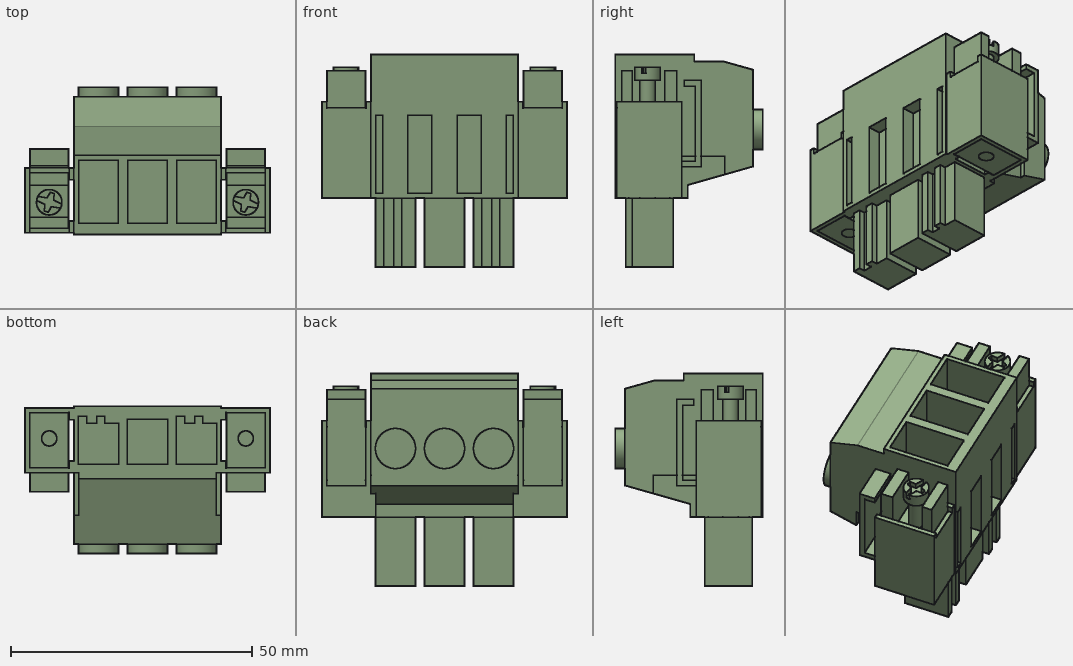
import cadquery as cq

pole_pitch = 10.15
pole_count = 3
pole_positions = [pole_pitch * (i - (pole_count - 1) / 2) for i in range(pole_count)]
total_length = 50.8
total_depth = 30.6
housing_length = pole_pitch * pole_count
housing_half = housing_length / 2

housing_height = 29.75
housing_depth = 28.6
tower_depth = 16.4
shoulder_height = 28.35
shoulder_depth = 22.45
back_top = 26.6
back_bottom = 6.55
foot_depth = 15.05
foot_height = 2.7

funnel_width = 8.2
funnel_front = 2.35
funnel_back = 15.45
funnel_drop = 10.15
window_width = 5.0
window_depth = 2.95
window_bottom = 1.0
window_top = 17.15

undercut_inset = 1.0
undercut_back = 22.65
undercut_top = 8.65

plug_width = 8.35
plug_front = 2.15
middle_plug_front = 2.75
plug_back = 12.05
plug_length = 14.35
channel_depth = 1.35
channel_spans = [(1.75, 3.75), (5.45, plug_width)]

cup_wall = 1.0
cup_front = 0.35
cup_back = 13.8
cup_height = 20.0
cup_rim = 18.7
cup_outer = total_length / 2
pocket_outer = cup_outer - cup_wall
pocket_inner = housing_half + cup_wall
pocket_front = cup_front + cup_wall
pocket_back = cup_back - cup_wall
bridge_depth = 2.5

insert_clearance = 0.1
insert_width = pocket_outer - pocket_inner - insert_clearance
insert_center = pocket_outer - insert_width / 2
insert_top = 26.4
insert_floor = 16.75
front_cheek_back = 3.55
back_cheek_front = 10.25

hook_thickness = 1.15
hook_back = 17.8
hook_lip_front = 14.35
hook_bottom = 6.45
hook_top = 24.4

screw_y = 6.7
screw_head_radius = 2.65
screw_shank_radius = 1.6
screw_head_bottom = 24.4
screw_top = 27.15
cross_depth = 1.2
cross_root_half = 0.7
cross_tip_half = 0.43
cross_short_reach = 2.05
cross_overrun = 0.05
cross_long_reach = screw_head_radius + cross_overrun
cross_angle = -18.0

terminal_radius = 4.15
terminal_height = total_depth - housing_depth
terminal_z = 14.2

LEFT, RIGHT = -1, 1


def box(x_range, y_range, z_range):
    """Box between two limits on each axis, given in either order."""
    x0, x1 = sorted(x_range)
    y0, y1 = sorted(y_range)
    z0, z1 = sorted(z_range)
    return cq.Workplane("XY").box(x1 - x0, y1 - y0, z1 - z0, centered=False).translate((x0, y0, z0))


def centered_span(center, width):
    return center - width / 2, center + width / 2


def make_housing_core():
    profile = [
        (0, 0),
        (0, housing_height),
        (tower_depth, housing_height),
        (tower_depth, shoulder_height),
        (shoulder_depth, shoulder_height),
        (housing_depth, back_top),
        (housing_depth, back_bottom),
        (foot_depth, foot_height),
        (foot_depth, 0),
    ]
    return cq.Workplane("YZ").polyline(profile).close().extrude(housing_half, both=True)


def cut_funnels(body):
    for x in pole_positions:
        body = body.cut(
            box(
                centered_span(x, funnel_width),
                (funnel_front, funnel_back),
                (housing_height - funnel_drop, housing_height),
            )
        )
    return body


def cut_front_windows(body):
    """One window midway between poles; those at the housing ends stop at the outermost funnel sides."""
    window_limit = pole_positions[-1] + funnel_width / 2
    for i in range(pole_count + 1):
        start, end = centered_span(pole_pitch * (i - pole_count / 2), window_width)
        x_range = (max(start, -window_limit), min(end, window_limit))
        body = body.cut(box(x_range, (0, window_depth), (window_bottom, window_top)))
    return body


def cut_undercuts(body):
    for side in (LEFT, RIGHT):
        x_range = (side * (housing_half - undercut_inset), side * housing_half)
        body = body.cut(box(x_range, (cup_back, undercut_back), (0, undercut_top)))
    return body


def make_middle_plug(x):
    return box(centered_span(x, plug_width), (middle_plug_front, plug_back), (-plug_length, 0))


def make_end_plug(x):
    """Plug with upright coding channels in its front."""
    start, end = centered_span(x, plug_width)
    plug = box((start, end), (plug_front, plug_back), (-plug_length, 0))
    for channel_start, channel_end in channel_spans:
        plug = plug.cut(
            box(
                (start + channel_start, start + channel_end),
                (plug_front, plug_front + channel_depth),
                (-plug_length, 0),
            )
        )
    return plug


def make_cup(side):
    """Three-walled frame, open toward the housing and tied to it by a strip at each corner."""
    cup = box((side * pocket_inner, side * cup_outer), (cup_front, cup_back), (0, cup_height))
    pocket_x = (side * pocket_inner, side * pocket_outer)
    cup = cup.cut(box(pocket_x, (pocket_front, pocket_back), (0, cup_height)))
    cup = cup.cut(box(pocket_x, (cup_front, cup_back), (cup_rim, cup_height)))
    for y_range in ((cup_front, cup_front + bridge_depth), (cup_back - bridge_depth, cup_back)):
        cup = cup.union(box((side * housing_half, side * pocket_inner), y_range, (0, cup_height)))
    return cup


def make_hook(side):
    """Bracket rising behind the cup, with a short lip at the top bent toward the front."""
    profile = [
        (cup_back, hook_bottom),
        (hook_back, hook_bottom),
        (hook_back, hook_top),
        (hook_lip_front, hook_top),
        (hook_lip_front, hook_top - hook_thickness),
        (hook_back - hook_thickness, hook_top - hook_thickness),
        (hook_back - hook_thickness, hook_bottom + hook_thickness),
        (cup_back, hook_bottom + hook_thickness),
    ]
    hook = cq.Workplane("YZ").polyline(profile).close().extrude(insert_width / 2, both=True)
    return hook.translate((side * insert_center, 0, 0))


def make_housing():
    housing = cut_undercuts(cut_front_windows(cut_funnels(make_housing_core())))
    for x in (pole_positions[0], pole_positions[-1]):
        housing = housing.union(make_end_plug(x))
    for x in pole_positions[1:-1]:
        housing = housing.union(make_middle_plug(x))
    for side in (LEFT, RIGHT):
        housing = housing.union(make_cup(side)).union(make_hook(side))
    return housing


def make_flange_insert(side):
    """Block filling the cup, with two upright cheeks and a screw hole between them."""
    x_range = centered_span(side * insert_center, insert_width)
    insert = box(x_range, (pocket_front, pocket_back), (0, insert_top))
    insert = insert.cut(box(x_range, (front_cheek_back, back_cheek_front), (insert_floor, insert_top)))
    hole = (
        cq.Workplane("XY", origin=(side * insert_center, screw_y, 0))
        .circle(screw_shank_radius)
        .extrude(insert_floor)
    )
    return insert.cut(hole)


def make_cross_recess():
    """Four tapered arms around the Z axis, one opposite pair longer than the other."""
    root, tip = cross_root_half, cross_tip_half
    outline = [
        (root, root),
        (tip, cross_short_reach),
        (-tip, cross_short_reach),
        (-root, root),
        (-cross_long_reach, tip),
        (-cross_long_reach, -tip),
        (-root, -root),
        (-tip, -cross_short_reach),
        (tip, -cross_short_reach),
        (root, -root),
        (cross_long_reach, -tip),
        (cross_long_reach, tip),
    ]
    recess = cq.Workplane("XY").polyline(outline).close().extrude(cross_depth)
    return recess.rotate((0, 0, 0), (0, 0, 1), cross_angle)


def make_flange_screw(side):
    position = (side * insert_center, screw_y, 0)
    shank = cq.Workplane("XY").circle(screw_shank_radius).extrude(screw_head_bottom)
    head = (
        cq.Workplane("XY")
        .workplane(offset=screw_head_bottom)
        .circle(screw_head_radius)
        .extrude(screw_top - screw_head_bottom)
    )
    recess = make_cross_recess().translate((0, 0, screw_top - cross_depth))
    return shank.union(head).cut(recess).translate(position)


def make_terminal_screw(x):
    """Plain round head standing on the back face."""
    return (
        cq.Workplane("XZ", origin=(x, housing_depth, terminal_z))
        .circle(terminal_radius)
        .extrude(-terminal_height)
    )


housing = make_housing()
flange_inserts = [make_flange_insert(side) for side in (LEFT, RIGHT)]
flange_screws = [make_flange_screw(side) for side in (LEFT, RIGHT)]
terminal_screws = [make_terminal_screw(x) for x in pole_positions]

bodies = [housing, *flange_inserts, *flange_screws, *terminal_screws]
result = cq.Compound.makeCompound([body.solids().val() for body in bodies])